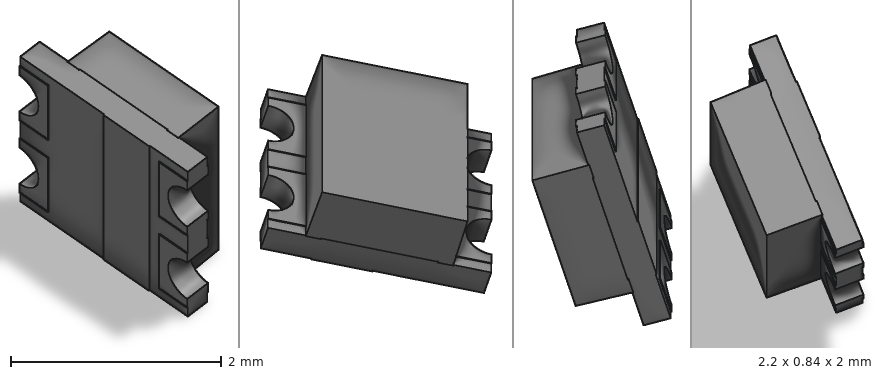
import cadquery as cq
import math

length = 2.2
height = 2.0
depth = 0.84

layer = 0.01
board_thickness = 0.27
board_back = layer + board_thickness
stripe_width = 0.6

pad_length = 0.375
pad_height = 0.75
pad_spacing = 0.999
notch_radius = 0.25

lens_length = length - 2 * pad_length
lens_draft = 1.0
rib_width = 0.15
rib_depth = 0.01


def block(x_start, x_size, y_start, y_size, z_size, z_centre=0.0):
    """Box given by its low X and Y corner and its centre in Z."""
    corner = (x_start, y_start, z_centre - z_size / 2)
    return cq.Workplane("XY").box(x_size, y_size, z_size, centered=False).translate(corner)


def make_ribs():
    """Two full-height strips just inside the left and right edges of the lens."""
    rib_start = board_back - rib_depth
    left_rib = block(-lens_length / 2, rib_width, rib_start, rib_depth, height)
    right_rib = block(lens_length / 2 - rib_width, rib_width, rib_start, rib_depth, height)
    return left_rib, right_rib


def make_board():
    board = block(-length / 2, length, layer, board_thickness, height)
    board = board.union(block(0, stripe_width, 0, layer, height))

    pad_centres = (-pad_spacing / 2, pad_spacing / 2)
    for z in pad_centres:
        for x_start in (-length / 2, length / 2 - pad_length):
            for y_start in (0, board_back):
                board = board.union(block(x_start, pad_length, y_start, layer, pad_height, z))

    notch_depth = board_back + layer
    for z in pad_centres:
        for x in (-length / 2, length / 2):
            notch = cq.Workplane("XZ").center(x, z).circle(notch_radius).extrude(-notch_depth)
            board = board.cut(notch)

    for rib in make_ribs():
        board = board.cut(rib)
    return board


def make_lens():
    lens_depth = depth - board_back
    inset = lens_depth * math.tan(math.radians(lens_draft))
    lens = (
        cq.Workplane("XZ", origin=(0, board_back, 0))
        .rect(lens_length, height)
        .workplane(offset=-lens_depth)
        .rect(lens_length - 2 * inset, height - 2 * inset)
        .loft(ruled=True)
    )
    for rib in make_ribs():
        lens = lens.union(rib)
    return lens


board = make_board()
lens = make_lens()

result = cq.Compound.makeCompound([board.solids().val(), lens.solids().val()])